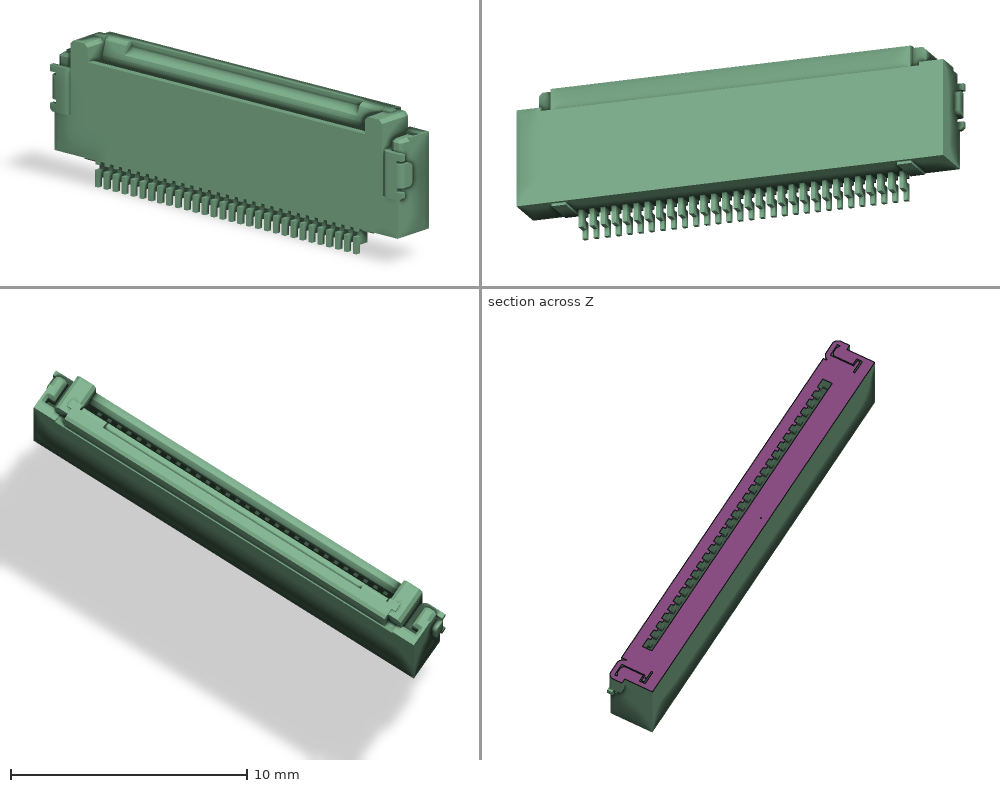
import cadquery as cq


overall_height = 6.28

housing_half_width = 9.64
housing_depth = 2.01
shoulder_top = 4.29
tower_half_width = 8.75
tower_inner_half = 7.8
tower_depth = 1.68
tower_top = 5.05
tower_chamfer = 0.15
back_notch_half_width = 8.55
back_notch_drop = 0.08
back_notch_flat_end = 1.82

front_wall = 0.51
front_wall_top = 4.27
front_wall_flat = 0.32
front_wall_slope_drop = 0.18
slot_back = 0.95
slot_floor = 2.37

actuator_top = 5.14
actuator_base = 3.35
actuator_back = 1.95
actuator_back_slope = 0.15
actuator_back_drop = 0.05
actuator_half_width = 8.12
ear_half_width = 8.31
ear_front = 1.05
ear_back = 1.42
lip_front = 0.89
lip_half_width = 7.72
lip_top_edge = 1.26
lip_shoulder_y = 1.07
lip_shoulder_z = 5.0
lip_crown_y = 1.15
lip_crown_z = 5.08
lip_bottom = 4.38
recess_half_width = 6.54
recess_back = 1.4
recess_wall_bottom = 4.88
recess_front_z = 4.56

clip_bottom = 1.7
clip_top = 3.75
clip_outer = 9.88
clip_front = -0.04
clip_sheet = 0.24
clip_foot_back = clip_front + clip_sheet
clip_leg_outer = 9.05
clip_leg_back = 1.46
clip_tail_end = 9.36
clip_tail_sheet = 0.15
clip_bend = 0.32
clip_notch_bottom = 2.05
clip_notch_top = 3.45
clip_notch_x = 9.52
prong_chamfer = 0.12
tab_bottom = 2.25
tab_top = 3.3
tab_back = 0.67
tab_bend = 0.28
tab_corner = 0.2

post_front = 0.22
post_inner = 9.07
post_back = 1.26
post_chamfer = 0.15
post_chamfer_depth = 0.1
pocket_outer = 9.4
pocket_back = 1.52
lead_in = 0.14
side_bevel_back = 0.77

contact_count = 30
contact_row_length = 14.5
contact_pitch = contact_row_length / (contact_count - 1)
contact_width = 0.2
tail_block_front = 0.25
tail_block_back = 0.67
tail_block_bottom = -0.77
tail_foot_back = 0.2
tail_foot_top = -0.4
tail_foot_front = clip_front
tail_bottom = actuator_top - overall_height
stub_back = 0.15
stub_bottom = -0.15
finger_front = 0.5
finger_back = 0.65
finger_top = 3.75

standoff_inner = 7.49
standoff_outer = 8.12
standoff_front = 0.18
standoff_back = 1.84
standoff_height = 0.12


def box(x_range, y_range, z_range):
    """Box between the given limits on each axis."""
    (x0, x1), (y0, y1), (z0, z1) = x_range, y_range, z_range
    return cq.Workplane("XY").box(x1 - x0, y1 - y0, z1 - z0, centered=False).translate((x0, y0, z0))


def symmetric_box(half_width, y_range, z_range):
    return box((-half_width, half_width), y_range, z_range)


def side_profile(points, half_width):
    """Extrude a (Y, Z) outline along X, equally to both sides of the middle."""
    return cq.Workplane("YZ").polyline(points).close().extrude(half_width, both=True)


def make_housing():
    block = symmetric_box(housing_half_width, (0, housing_depth), (0, shoulder_top))
    towers = symmetric_box(tower_half_width, (0, tower_depth), (0, tower_top))
    towers = towers.edges("|Y and >Z").chamfer(tower_chamfer)
    gap = (
        symmetric_box(tower_inner_half, (0, tower_depth), (front_wall_top, tower_top))
        .union(
            cq.Workplane("XZ")
            .polyline([
                (-tower_inner_half - tower_chamfer, tower_top),
                (tower_inner_half + tower_chamfer, tower_top),
                (tower_inner_half, tower_top - tower_chamfer),
                (-tower_inner_half, tower_top - tower_chamfer),
            ])
            .close()
            .extrude(-tower_depth)
        )
    )
    slot = side_profile(
        [
            (front_wall_flat, front_wall_top),
            (front_wall, front_wall_top - front_wall_slope_drop),
            (front_wall, slot_floor),
            (slot_back, slot_floor),
            (slot_back, front_wall_top),
        ],
        tower_inner_half,
    )
    back_notch = side_profile(
        [
            (tower_depth, shoulder_top),
            (tower_depth, shoulder_top - back_notch_drop),
            (back_notch_flat_end, shoulder_top - back_notch_drop),
            (housing_depth, shoulder_top - 2 * back_notch_drop),
            (housing_depth, shoulder_top),
        ],
        back_notch_half_width,
    )
    return block.union(towers).cut(gap).cut(slot).cut(back_notch)


def make_actuator():
    bar = side_profile(
        [
            (ear_back, actuator_base),
            (actuator_back, actuator_base),
            (actuator_back, actuator_top - actuator_back_drop),
            (actuator_back - actuator_back_slope, actuator_top),
            (ear_back, actuator_top),
        ],
        actuator_half_width,
    )
    ears = symmetric_box(ear_half_width, (ear_front, ear_back), (actuator_base, actuator_top))
    ear_gap = symmetric_box(tower_inner_half, (ear_front, lip_top_edge), (actuator_base, actuator_top))
    lip = (
        cq.Workplane("YZ")
        .moveTo(lip_front, actuator_base)
        .lineTo(lip_front, lip_bottom)
        .lineTo(lip_shoulder_y, lip_shoulder_z)
        .threePointArc((lip_crown_y, lip_crown_z), (lip_top_edge, actuator_top))
        .lineTo(ear_back, actuator_top)
        .lineTo(ear_back, actuator_base)
        .close()
        .extrude(lip_half_width, both=True)
    )
    recess = side_profile(
        [
            (recess_back, actuator_top),
            (recess_back, recess_wall_bottom),
            (lip_front, recess_front_z),
            (lip_front, actuator_top),
        ],
        recess_half_width,
    )
    return bar.union(ears.cut(ear_gap)).union(lip).cut(recess)


def make_clip_pocket():
    """Space for the left clip: an open front, a channel beside the post and a turn behind it."""
    lead_in_bottom = shoulder_top - lead_in
    outline = [
        (-clip_outer, clip_front),
        (-tower_half_width, clip_front),
        (-tower_half_width, pocket_back),
        (-pocket_outer, pocket_back),
        (-pocket_outer, post_back),
        (-post_inner, post_back),
        (-post_inner, post_front + post_chamfer_depth),
        (-post_inner - post_chamfer, post_front),
        (-housing_half_width + post_chamfer, post_front),
        (-housing_half_width, post_front + post_chamfer_depth),
        (-clip_outer, post_front + post_chamfer_depth),
    ]
    straight = (
        cq.Workplane("XY", origin=(0, 0, clip_bottom))
        .polyline(outline)
        .close()
        .extrude(shoulder_top - clip_bottom)
    )
    flare = (
        cq.Workplane("XY", origin=(0, 0, lead_in_bottom))
        .polyline(outline)
        .close()
        .extrude(lead_in, taper=-45)
    )
    beside_tower = box(
        (-clip_outer, -tower_half_width),
        (clip_front, housing_depth),
        (clip_bottom, shoulder_top),
    )
    side_bevel = (
        cq.Workplane("XZ", origin=(-housing_half_width, side_bevel_back, shoulder_top))
        .polyline([(0, 0), (post_chamfer, 0), (0, -lead_in)])
        .close()
        .extrude(side_bevel_back - post_front)
    )
    return straight.union(flare.intersect(beside_tower)).union(side_bevel)


def make_clip():
    """Left clip: a flat foot in front, a leg against the tower, a hooked tail and a side tab."""
    levels = (clip_bottom, clip_top)
    foot = box((-clip_outer, -tower_half_width), (clip_front, clip_foot_back), levels)
    foot = foot.edges("|Y and <X and <Z").chamfer(prong_chamfer)
    notch = box(
        (-clip_outer, -clip_notch_x),
        (clip_front, clip_foot_back),
        (clip_notch_bottom, clip_notch_top),
    )
    leg = box((-clip_leg_outer, -tower_half_width), (clip_front, clip_leg_back), levels)
    sheet = foot.union(leg).edges("|Z and >X and <Y").fillet(clip_bend)
    tail = box(
        (-clip_tail_end, -clip_leg_outer),
        (clip_leg_back - clip_tail_sheet, clip_leg_back),
        levels,
    )
    tab_levels = (tab_bottom, tab_top)
    tab = box((-clip_outer, -clip_notch_x), (clip_front, tab_back), tab_levels)
    tab = tab.edges("|Z and <X and <Y").fillet(tab_bend)
    tab = tab.cut(box((-clip_outer + clip_sheet, -clip_notch_x), (clip_foot_back, tab_back), tab_levels))
    tab = tab.edges("|X and >Y").fillet(tab_corner)
    return sheet.cut(notch).union(tail).union(tab)


def make_contact(x):
    x_range = (x - contact_width / 2, x + contact_width / 2)
    tail = (
        cq.Workplane("YZ", origin=(x, 0, 0))
        .polyline([
            (tail_block_front, 0),
            (tail_block_back, 0),
            (tail_block_back, tail_block_bottom),
            (tail_foot_back, tail_block_bottom),
            (tail_foot_back, tail_bottom),
            (tail_foot_front, tail_bottom),
            (tail_foot_front, tail_foot_top),
            (tail_block_front, tail_foot_top),
        ])
        .close()
        .extrude(contact_width / 2, both=True)
    )
    stub = box(x_range, (0, stub_back), (stub_bottom, 0))
    finger = box(x_range, (finger_front, finger_back), (slot_floor, finger_top))
    return tail.union(stub).union(finger)


def make_standoff():
    return box(
        (-standoff_outer, -standoff_inner),
        (standoff_front, standoff_back),
        (-standoff_height, 0),
    )


def on_both_ends(left):
    return left.union(left.mirror("YZ"))


result = make_housing().cut(on_both_ends(make_clip_pocket()))
result = result.union(make_actuator())
result = result.union(on_both_ends(make_clip()))
result = result.union(on_both_ends(make_standoff()))
for index in range(contact_count):
    result = result.union(make_contact(index * contact_pitch - contact_row_length / 2))